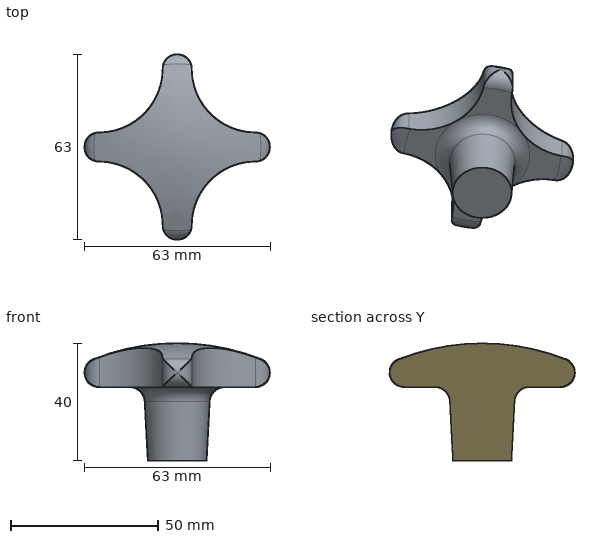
import cadquery as cq
import math

span = 63.0
height = 40.0
underside_height = 25.0
tip_radius = 5.0
stem_base_radius = 10.0
stem_draft = math.radians(3)
flare_radius = 5.0

tip_center = span / 2 - tip_radius
valley_radius = tip_center - tip_radius
valley_middle = tip_center - valley_radius * math.sqrt(0.5)

rim_center_height = underside_height + tip_radius
apex_rise = height - rim_center_height
dome_radius = (tip_center**2 + apex_rise**2 - tip_radius**2) / (2 * (apex_rise - tip_radius))
dome_center_height = height - dome_radius


def dome_point(angle):
    """Point (radius, height) on the dome at an angle from the vertical axis."""
    return (
        dome_radius * math.sin(angle),
        dome_center_height + dome_radius * math.cos(angle),
    )


rim_angle = math.atan2(tip_center, rim_center_height - dome_center_height)

flare_center_height = underside_height - flare_radius
flare_start_height = flare_center_height + flare_radius * math.sin(stem_draft)
flare_start_radius = stem_base_radius + flare_start_height * math.tan(stem_draft)
flare_center_radius = flare_start_radius + flare_radius * math.cos(stem_draft)
flare_middle_angle = (math.pi / 2 + stem_draft) / 2
flare_middle = (
    flare_center_radius - flare_radius * math.cos(flare_middle_angle),
    flare_center_height + flare_radius * math.sin(flare_middle_angle),
)


def turned_body():
    """Stem, flare, rounded rim and dome revolved about Z."""
    profile = (
        cq.Workplane("XZ")
        .lineTo(stem_base_radius, 0)
        .lineTo(flare_start_radius, flare_start_height)
        .threePointArc(flare_middle, (flare_center_radius, underside_height))
        .lineTo(tip_center, underside_height)
        .threePointArc((span / 2, rim_center_height), dome_point(rim_angle))
        .threePointArc(dome_point(rim_angle / 2), (0, height))
        .close()
    )
    return profile.revolve(360, (0, 0, 0), (0, 1, 0))


def star_prism():
    """Full-height prism with the four-armed star outline."""

    def turned(x, y, quarter):
        """Rotate a point about Z by a number of quarter turns."""
        for _ in range(quarter):
            x, y = -y, x
        return (x, y)

    outline = cq.Workplane("XY").moveTo(tip_center, -tip_radius)
    for arm in range(4):
        outline = outline.threePointArc(
            turned(span / 2, 0, arm), turned(tip_center, tip_radius, arm)
        ).threePointArc(
            turned(valley_middle, valley_middle, arm), turned(tip_radius, tip_center, arm)
        )
    return outline.close().extrude(height)


contact_tolerance = 0.001
result = turned_body().intersect(star_prism(), tol=contact_tolerance)